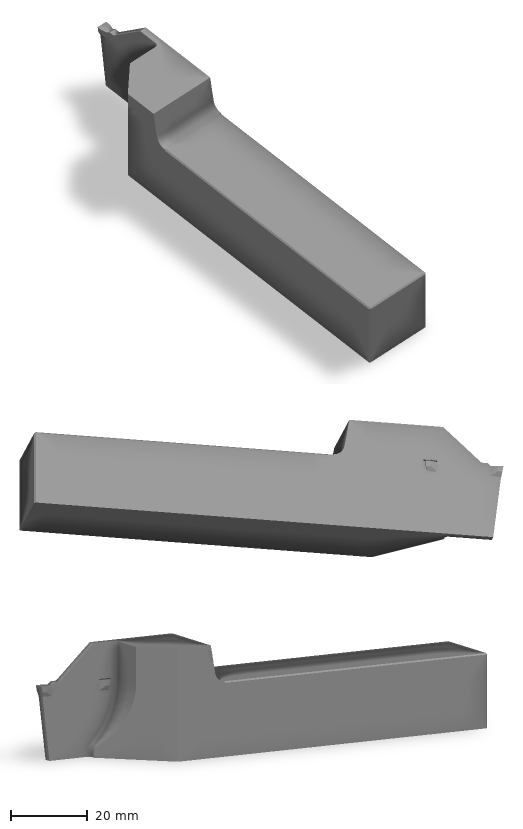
import cadquery as cq
import math

LENGTH = 125.0
SHANK = 20.0
HEAD_HEIGHT = 30.0
HEAD_BACK_X = 41.0
STEP_ANGLE = 10.0
STEP_FILLET = 3.0
EDGE_CHAMFER = 0.4
CORNER_CUT_X = 31.0

BLADE_THICKNESS = 2.0
BLADE_BOTTOM_X = 2.6
JAW_NOSE_X = 5.8
JAW_TOP_X = 16.0

WALL_X = 23.0
WALL_FOOT_X = 15.0
WALL_RADIUS = 23.0
FOOT_RADIUS = 3.0
ROOT_FILLET = 1.0

INSERT_LENGTH = 20.9
INSERT_BOTTOM = 16.4
INSERT_TOP = 20.8
END_RAKE = 0.6
CUTTER_LENGTH = 3.2
CUTTER_WIDTH = 3.0
CUTTER_BOTTOM = 17.2
CUTTER_FLAT_LENGTH = 1.5
CUTTER_FLAT_BOTTOM = 18.5
RAMP_LENGTH = 0.9
RELIEF_END_X = 21.2
RELIEF_HEIGHT = 0.4

CUTTER_TOP = SHANK
BLADE_MID_Y = -BLADE_THICKNESS / 2


def prism_along_y(profile, y_front, y_back):
    """Extrude an XZ profile from y_front to y_back."""
    return profile.extrude(y_back - y_front).translate((0, y_back, 0))


def insert_outline():
    mid_end = INSERT_LENGTH - CUTTER_LENGTH
    return cq.Workplane("XZ").polyline([
        (END_RAKE, INSERT_BOTTOM),
        (0, CUTTER_TOP),
        (CUTTER_LENGTH, CUTTER_TOP),
        (CUTTER_LENGTH + RAMP_LENGTH, INSERT_TOP),
        (mid_end - RAMP_LENGTH, INSERT_TOP),
        (mid_end, CUTTER_TOP),
        (INSERT_LENGTH, CUTTER_TOP),
        (INSERT_LENGTH - END_RAKE, INSERT_BOTTOM),
    ]).close()


def insert_silhouette(y_front, y_back):
    return prism_along_y(insert_outline(), y_front, y_back)


def make_cutter():
    """Wide cutting head at the X = 0 end, narrowing to blade thickness downward and inward."""
    wide = CUTTER_WIDTH / 2
    narrow = BLADE_THICKNESS / 2
    plan = (
        cq.Workplane("XY", origin=(0, BLADE_MID_Y, CUTTER_BOTTOM))
        .polyline([
            (0, -wide), (CUTTER_FLAT_LENGTH, -wide), (CUTTER_LENGTH, -narrow),
            (CUTTER_LENGTH, narrow), (CUTTER_FLAT_LENGTH, wide), (0, wide),
        ]).close().extrude(CUTTER_TOP - CUTTER_BOTTOM)
    )
    end_profile = (
        cq.Workplane("YZ", origin=(0, BLADE_MID_Y, 0))
        .polyline([
            (-narrow, CUTTER_BOTTOM), (-wide, CUTTER_FLAT_BOTTOM), (-wide, CUTTER_TOP),
            (wide, CUTTER_TOP), (wide, CUTTER_FLAT_BOTTOM), (narrow, CUTTER_BOTTOM),
        ]).close().extrude(CUTTER_LENGTH)
    )
    overhang = (CUTTER_WIDTH - BLADE_THICKNESS) / 2
    return plan.intersect(end_profile).intersect(
        insert_silhouette(-BLADE_THICKNESS - overhang, overhang))


def make_insert():
    body = insert_silhouette(-BLADE_THICKNESS, 0)
    front_cutter = make_cutter()
    rear_cutter = front_cutter.mirror("YZ", (INSERT_LENGTH / 2, 0, 0))
    return body.union(front_cutter).union(rear_cutter)


def shank_blank(start_x):
    """Square shank with its long top edges and its end edges chamfered."""
    shank = cq.Workplane("XY").box(LENGTH - start_x, SHANK, SHANK, centered=False)
    shank = shank.translate((start_x, -SHANK, 0))
    long_top_edges = shank.faces(">Z").edges("|X")
    end_edges = shank.faces(">X").edges("|Z or >Z")
    return long_top_edges.add(end_edges).chamfer(EDGE_CHAMFER)


def holder_blank():
    """Head and blade at full width, with the filleted step down to the shank."""
    lean = math.radians(STEP_ANGLE)
    step_foot_x = HEAD_BACK_X + (HEAD_HEIGHT - SHANK) * math.tan(lean)
    fillet_reach = STEP_FILLET * math.tan(math.pi / 4 - lean / 2)
    shank_start_x = step_foot_x + fillet_reach
    profile = cq.Workplane("XZ").polyline([
        (BLADE_BOTTOM_X, 0),
        (END_RAKE, INSERT_BOTTOM),
        (JAW_NOSE_X, INSERT_TOP),
        (JAW_TOP_X, HEAD_HEIGHT),
        (HEAD_BACK_X, HEAD_HEIGHT),
        (step_foot_x, SHANK),
        (LENGTH, SHANK),
        (LENGTH, 0),
    ]).close()
    blank = prism_along_y(profile, -SHANK, 0)
    step_edge = cq.selectors.NearestToPointSelector((step_foot_x, -SHANK / 2, SHANK))
    blank = blank.edges(step_edge).fillet(STEP_FILLET)
    shank_space = cq.Workplane("XY").box(LENGTH, SHANK, HEAD_HEIGHT, centered=False)
    head = blank.cut(shank_space.translate((shank_start_x, -SHANK, 0)))
    return head.union(shank_blank(shank_start_x))


def corner_cut():
    """45 degree cut across the front corner of the head, stopping at the blade."""
    blade_x = CORNER_CUT_X - (SHANK - BLADE_THICKNESS)
    return (
        cq.Workplane("XY")
        .polyline([
            (CORNER_CUT_X, -SHANK),
            (blade_x, -BLADE_THICKNESS),
            (0, -BLADE_THICKNESS),
            (0, -SHANK),
        ]).close().extrude(HEAD_HEIGHT)
    )


def face_recess():
    """Space in front of the blade, bounded by the curved wall, with its root rounded."""
    turn = math.acos(1 - (WALL_X - WALL_FOOT_X) / (WALL_RADIUS + FOOT_RADIUS))
    foot_z = SHANK - (WALL_RADIUS + FOOT_RADIUS) * math.sin(turn)

    def wall_point(angle):
        return (WALL_X - WALL_RADIUS * (1 - math.cos(angle)), SHANK - WALL_RADIUS * math.sin(angle))

    def foot_point(angle):
        return (WALL_FOOT_X + FOOT_RADIUS * (1 - math.cos(angle)), foot_z + FOOT_RADIUS * math.sin(angle))

    profile = (
        cq.Workplane("XZ")
        .moveTo(-SHANK, HEAD_HEIGHT)
        .lineTo(WALL_X, HEAD_HEIGHT)
        .lineTo(WALL_X, SHANK)
        .threePointArc(wall_point(turn / 2), wall_point(turn))
        .threePointArc(foot_point(turn / 2), foot_point(0))
        .lineTo(WALL_FOOT_X, 0)
        .lineTo(-SHANK, 0)
        .close()
    )
    recess = prism_along_y(profile, -SHANK, -BLADE_THICKNESS)
    root = cq.selectors.BoxSelector(
        (WALL_FOOT_X - 1.2, -BLADE_THICKNESS - 0.1, -1.2),
        (WALL_X + 1.2, -BLADE_THICKNESS + 0.1, HEAD_HEIGHT - 1.2))
    return recess.edges(root).fillet(ROOT_FILLET)


def rear_relief():
    """Slot giving clearance above the rear cutting head."""
    start_x = INSERT_LENGTH - CUTTER_LENGTH
    return cq.Workplane("XY").box(
        RELIEF_END_X - start_x, BLADE_THICKNESS, RELIEF_HEIGHT, centered=False
    ).translate((start_x, -BLADE_THICKNESS, CUTTER_TOP))


def make_holder():
    seat = insert_silhouette(-SHANK, 0)
    return holder_blank().cut(corner_cut()).cut(face_recess()).cut(seat).cut(rear_relief())


holder = make_holder()
insert = make_insert()
result = cq.Compound.makeCompound([holder.val(), insert.val()])